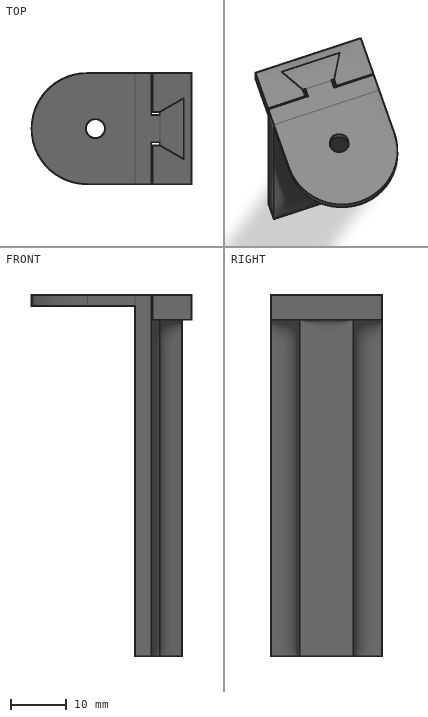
import cadquery as cq
import math

height = 65.0
width = 20.0
length = 28.8

plate_thickness = 3.0
shelf_reach = 18.6
shelf_thickness = 2.0
shelf_radius = width / 2
hole_diameter = 3.4
hole_from_tip = 11.5

neck_length = 1.5
neck_width = 4.95
dovetail_depth = 4.0
flank_angle = 30.0

slider_height = 4.5
face_gap = 0.2
neck_gap = 0.5
head_extra_depth = 0.3

neck_end = plate_thickness + neck_length
slider_start = plate_thickness + face_gap
slider_end = length - shelf_reach
slider_bottom = height - slider_height
socket_neck_width = neck_width + 2 * neck_gap
socket_depth = dovetail_depth + head_extra_depth


def block(x_start, x_end, y_width, z_start, z_end):
    """Box centred on Y = 0."""
    return cq.Workplane("XY", origin=(x_start, 0, z_start)).box(
        x_end - x_start, y_width, z_end - z_start, centered=(False, True, False)
    )


def dovetail(narrow_width, depth, z_start, z_end):
    """Trapezoidal prism that widens away from the neck."""
    narrow = narrow_width / 2
    wide = narrow + depth * math.tan(math.radians(flank_angle))
    outline = [
        (neck_end, -narrow),
        (neck_end + depth, -wide),
        (neck_end + depth, wide),
        (neck_end, narrow),
    ]
    return cq.Workplane("XY", origin=(0, 0, z_start)).polyline(outline).close().extrude(z_end - z_start)


def socket_dovetail():
    """Volume shared by the socket of the slider and the head of the rail that fills it."""
    return dovetail(socket_neck_width, socket_depth, slider_bottom, height)


def make_shelf():
    """Shelf with a round tip and a vertical screw hole."""
    arc_start = shelf_radius - shelf_reach
    shelf = (
        cq.Workplane("XY", origin=(0, 0, height - shelf_thickness))
        .moveTo(0, -shelf_radius)
        .lineTo(arc_start, -shelf_radius)
        .threePointArc((-shelf_reach, 0), (arc_start, shelf_radius))
        .lineTo(0, shelf_radius)
        .close()
        .extrude(shelf_thickness)
    )
    hole = (
        cq.Workplane("XY", origin=(hole_from_tip - shelf_reach, 0, height - shelf_thickness))
        .circle(hole_diameter / 2)
        .extrude(shelf_thickness)
    )
    return shelf.cut(hole)


def make_rail():
    """Plate with the shelf on one side and the dovetail, with its enlarged head, on the other."""
    plate = block(0, plate_thickness, width, 0, height)
    neck = block(plate_thickness, neck_end, neck_width, 0, height)
    rail = plate.union(neck)
    rail = rail.union(make_shelf(), clean=False)
    rail = rail.union(dovetail(neck_width, dovetail_depth, 0, slider_bottom), clean=False)
    return rail.union(socket_dovetail(), clean=False)


def make_slider():
    """Block with a dovetail socket that is open towards the plate."""
    slider = block(slider_start, slider_end, width, slider_bottom, height)
    neck_slot = block(slider_start, neck_end, socket_neck_width, slider_bottom, height)
    return slider.cut(neck_slot).cut(socket_dovetail())


rail = make_rail()
slider = make_slider()

result = cq.Compound.makeCompound([rail.solids().val(), slider.solids().val()])